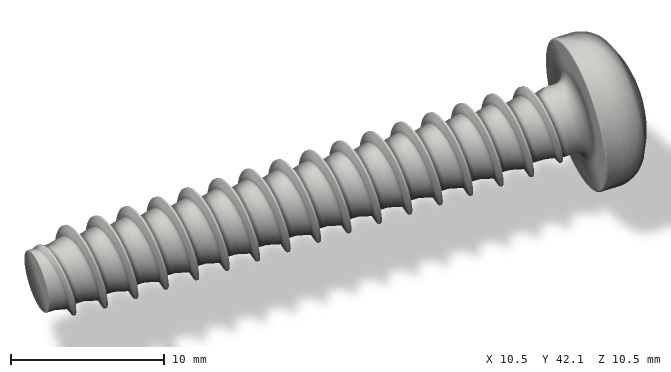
import cadquery as cq
import math


total_length = 42.15
head_diameter = 10.5
head_height = 4.13
shank_length = total_length - head_height

rim_height = 1.3
rim_fillet = 0.13
shoulder_radius = 4.4
dome_sphere_radius = 8
flat_radius = 1.85

recess_reach = 2.9
recess_floor_reach = 1.05
recess_depth = 2.53
wing_width = 0.85

core_radius = 4.25 / 2
neck_radius = 4.7 / 2
neck_fillet = 0.75
neck_length = 1.5
taper_length = 0.85
tip_cone_depth = 0.1

thread_start = 1.05
thread_turns = 17
thread_span = 36.4
pitch = thread_span / thread_turns
crest_radius = 3.0
crest_width = 0.13
flank_run = 0.25
foot_radius = 2.35
ramp_end = 1.25
buried_radius = 2.02
lead_in_turns = 1.25
lead_in_height = 0.5
runout_turns = 1.0
runout_height = 0.08
points_per_turn = 16


def make_body():
    """Head and unthreaded shank, revolved about the Y axis."""
    rim_radius = head_diameter / 2
    sphere_center = head_height - math.sqrt(dome_sphere_radius**2 - flat_radius**2)
    shoulder_y = sphere_center + math.sqrt(dome_sphere_radius**2 - shoulder_radius**2)
    mid_radius = (flat_radius + shoulder_radius) / 2
    mid_y = sphere_center + math.sqrt(dome_sphere_radius**2 - mid_radius**2)
    return (
        cq.Workplane("XY")
        .moveTo(0, -shank_length)
        .lineTo(core_radius, -shank_length + tip_cone_depth)
        .lineTo(core_radius, -neck_length - taper_length)
        .lineTo(neck_radius, -neck_length)
        .lineTo(neck_radius, -neck_fillet)
        .tangentArcPoint((neck_radius + neck_fillet, 0), relative=False)
        .lineTo(rim_radius - rim_fillet, 0)
        .tangentArcPoint((rim_radius, rim_fillet), relative=False)
        .lineTo(rim_radius, rim_height)
        .tangentArcPoint((shoulder_radius, shoulder_y), relative=False)
        .threePointArc((mid_radius, mid_y), (flat_radius, head_height))
        .lineTo(0, head_height)
        .close()
        .revolve(360, (0, 0, 0), (0, 1, 0))
    )


def make_recess():
    """Two crossed wings whose ends slope in towards the recess floor."""
    floor_y = head_height - recess_depth
    wing = (
        cq.Workplane("XY")
        .polyline([
            (-recess_reach, head_height),
            (recess_reach, head_height),
            (recess_floor_reach, floor_y),
            (-recess_floor_reach, floor_y),
        ])
        .close()
        .extrude(wing_width / 2, both=True)
    )
    return wing.union(wing.rotate((0, 0, 0), (0, 1, 0), 90))


def section_height(turn):
    """Height of the thread section at a given turn, as a fraction of full height."""
    lead_in = lead_in_height + (1 - lead_in_height) * min(turn / lead_in_turns, 1)
    remaining = min((thread_turns - turn) / runout_turns, 1)
    runout = runout_height + (1 - runout_height) * math.sin(remaining * math.pi / 2)
    return min(lead_in, runout)


def helical_edge(turn_number, radius, offset):
    """One turn of the curve traced by a corner of the thread section, from -X to -X."""
    points = []
    for step in range(points_per_turn + 1):
        turn = turn_number + step / points_per_turn
        angle = 2 * math.pi * turn
        r = buried_radius + (radius - buried_radius) * section_height(turn)
        y = -thread_start - pitch * turn - offset
        points.append(cq.Vector(-r * math.cos(angle), y, -r * math.sin(angle)))
    return cq.Edge.makeSpline(points)


def end_face(corner_points):
    """Flat face closing one end of the thread."""
    return cq.Face.makeFromWires(cq.Wire.makePolygon(corner_points, close=True))


def make_thread():
    """Single-start thread: a steep ridge followed by a shallow ramp to the core."""
    half_crest = crest_width / 2
    foot_offset = half_crest + flank_run
    ramp_slope = (foot_radius - core_radius) / (ramp_end - foot_offset)
    buried_end = ramp_end + (core_radius - buried_radius) / ramp_slope
    corners = [
        (buried_radius, -foot_offset),
        (crest_radius, -half_crest),
        (crest_radius, half_crest),
        (foot_radius, foot_offset),
        (buried_radius, buried_end),
    ]
    faces = []
    for turn_number in range(thread_turns):
        edges = [helical_edge(turn_number, radius, offset) for radius, offset in corners]
        for edge, following in zip(edges, edges[1:] + edges[:1]):
            faces.append(cq.Face.makeRuledSurface(edge, following))
        if turn_number == 0:
            faces.append(end_face([edge.startPoint() for edge in edges]))
    faces.append(end_face([edge.endPoint() for edge in edges]))
    ridge = cq.Solid.makeSolid(cq.Shell.makeShell(faces))

    threaded_zone = cq.Solid.makeCylinder(
        head_diameter / 2,
        shank_length - tip_cone_depth - neck_length,
        cq.Vector(0, -neck_length, 0),
        cq.Vector(0, -1, 0),
    )
    return cq.Workplane(ridge).intersect(cq.Workplane(threaded_zone))


result = make_body().cut(make_recess()).union(make_thread())